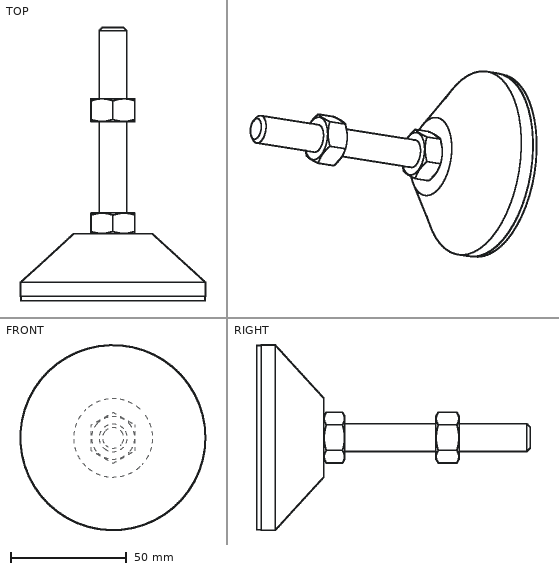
import cadquery as cq
import math

total_length = 118.0

foot_diameter = 80.0
pad_diameter = 79.6
pad_height = 2.0
rim_top = 8.0
foot_top = 29.0
foot_top_diameter = 34.0

stud_diameter = 12.0
stud_chamfer = 1.5

across_flats = 19.0
hex_sides = 6
across_corners = across_flats / math.cos(math.pi / hex_sides)
hex_chamfer_angle = 30.0
hex_face_diameter = 18.5
fixed_hex_height = 9.0
nut_bottom = 77.3
nut_height = 10.0


def make_foot():
    """Revolved foot: a slightly narrower pad, a cylindrical rim and a conical top."""
    profile = (
        cq.Workplane("XY")
        .moveTo(0, 0)
        .lineTo(pad_diameter / 2, 0)
        .lineTo(pad_diameter / 2, pad_height)
        .lineTo(foot_diameter / 2, pad_height)
        .lineTo(foot_diameter / 2, rim_top)
        .lineTo(foot_top_diameter / 2, foot_top)
        .lineTo(0, foot_top)
        .close()
    )
    return profile.revolve(360, (0, 0, 0), (0, 1, 0))


def make_stud():
    """Round stud from inside the foot to the far end, with a chamfered tip."""
    stud_start = rim_top
    return (
        cq.Workplane("XZ", origin=(0, stud_start, 0))
        .circle(stud_diameter / 2)
        .extrude(stud_start - total_length)
        .faces(">Y")
        .chamfer(stud_chamfer)
    )


def make_hex(bottom, height):
    """Hexagon with corners toward +Z and -Z, its corners turned off by cones at both ends."""
    prism = (
        cq.Workplane("XZ", origin=(0, bottom, 0))
        .transformed(rotate=(0, 0, 90))
        .polygon(hex_sides, across_corners)
        .extrude(-height)
    )
    corner_radius = across_corners / 2
    face_radius = hex_face_diameter / 2
    chamfer_height = (corner_radius - face_radius) * math.tan(math.radians(hex_chamfer_angle))
    top = bottom + height
    envelope = (
        cq.Workplane("XY")
        .moveTo(0, bottom)
        .lineTo(face_radius, bottom)
        .lineTo(corner_radius, bottom + chamfer_height)
        .lineTo(corner_radius, top - chamfer_height)
        .lineTo(face_radius, top)
        .lineTo(0, top)
        .close()
        .revolve(360, (0, 0, 0), (0, 1, 0))
    )
    return prism.intersect(envelope)


fixed_hex = make_hex(foot_top, fixed_hex_height)
lock_nut = make_hex(nut_bottom, nut_height)
result = make_foot().union(make_stud()).union(fixed_hex).union(lock_nut)